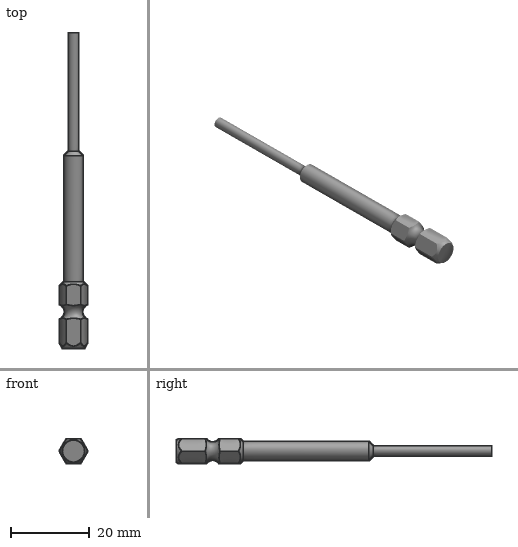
import cadquery as cq
import math


total_length = 80.0
shoulder_y = 50.0
body_start_y = 17.0
groove_center_y = 9.3

across_flats = 6.3
body_diameter = 5.0
tip_diameter = 2.7
end_face_diameter = 5.6
groove_floor_diameter = 4.7
groove_arc_radius = 2.0

end_chamfer_angle = 30.0
step_cone_angle = 45.0

corner_radius = across_flats / math.sqrt(3)
body_radius = body_diameter / 2
tip_radius = tip_diameter / 2
end_face_radius = end_face_diameter / 2
groove_floor_radius = groove_floor_diameter / 2


def cone_length(small_radius, large_radius, angle):
    """Axial length of a cone between two radii."""
    return (large_radius - small_radius) / math.tan(math.radians(angle))


def revolve_about_axis(profile):
    """Turn a closed XY profile a full revolution about the Y axis."""
    return profile.close().revolve(360, (0, 0, 0), (0, 1, 0))


def hex_drive():
    """Hexagonal bar trimmed by a turned outline: end chamfer, retaining groove and rear cone."""
    bar = cq.Workplane("XZ").polygon(6, 2 * corner_radius).extrude(-body_start_y)

    arc_center_radius = groove_floor_radius + groove_arc_radius
    groove_half_width = math.sqrt(groove_arc_radius**2 - (arc_center_radius - corner_radius) ** 2)

    chamfer_end_y = cone_length(end_face_radius, corner_radius, end_chamfer_angle)
    rear_cone_y = body_start_y - cone_length(body_radius, corner_radius, step_cone_angle)
    turned_outline = (
        cq.Workplane("XY")
        .moveTo(0, 0)
        .lineTo(end_face_radius, 0)
        .lineTo(corner_radius, chamfer_end_y)
        .lineTo(corner_radius, groove_center_y - groove_half_width)
        .threePointArc(
            (groove_floor_radius, groove_center_y),
            (corner_radius, groove_center_y + groove_half_width),
        )
        .lineTo(corner_radius, rear_cone_y)
        .lineTo(body_radius, body_start_y)
        .lineTo(0, body_start_y)
    )
    return bar.intersect(revolve_about_axis(turned_outline))


def round_shaft():
    """Round body stepping down through a cone to the slim tip."""
    shoulder_start_y = shoulder_y - cone_length(tip_radius, body_radius, step_cone_angle)
    outline = (
        cq.Workplane("XY")
        .moveTo(0, body_start_y)
        .lineTo(body_radius, body_start_y)
        .lineTo(body_radius, shoulder_start_y)
        .lineTo(tip_radius, shoulder_y)
        .lineTo(tip_radius, total_length)
        .lineTo(0, total_length)
    )
    return revolve_about_axis(outline)


result = hex_drive().union(round_shaft())